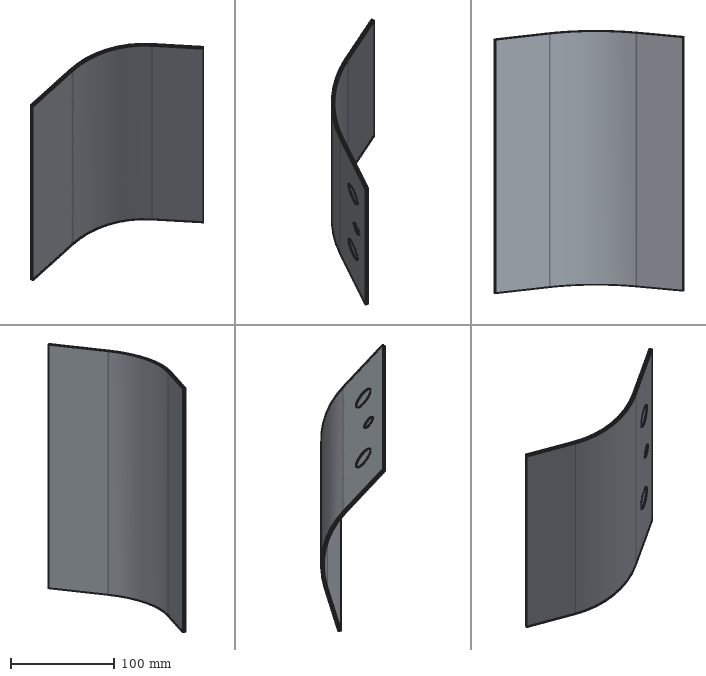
import cadquery as cq
import math


height = 250.0
first_flat_length = 60.5
second_flat_length = 50.0
bend_angle = math.radians(55.0)
inner_bend_radius = 90.0

sheet_thickness = 1.0
sheet_count = 3
outer_bend_radius = inner_bend_radius + sheet_count * sheet_thickness

large_hole_diameter = 22.2
large_hole_y = 29.85
large_hole_spacing = 120.0
small_hole_diameter = 13.2
small_hole_y = 21.85


def point_on_bend(radius, angle):
    """Point on a concentric bend arc, turned by angle from its start."""
    x = outer_bend_radius - radius * math.cos(angle)
    y = first_flat_length + radius * math.sin(angle)
    return x, y


def second_flat_end(radius):
    """Far end of the second flat that runs on from the arc of this radius."""
    x, y = point_on_bend(radius, bend_angle)
    return (
        x + second_flat_length * math.sin(bend_angle),
        y + second_flat_length * math.cos(bend_angle),
    )


def bent_sheet(outer_radius):
    """One sheet: flat, bend, flat. outer_radius is that of its convex face."""
    inner_radius = outer_radius - sheet_thickness
    outer_x = outer_bend_radius - outer_radius
    inner_x = outer_x + sheet_thickness
    half_bend = bend_angle / 2
    return (
        cq.Workplane("XY")
        .moveTo(outer_x, 0)
        .lineTo(*point_on_bend(outer_radius, 0))
        .threePointArc(point_on_bend(outer_radius, half_bend), point_on_bend(outer_radius, bend_angle))
        .lineTo(*second_flat_end(outer_radius))
        .lineTo(*second_flat_end(inner_radius))
        .lineTo(*point_on_bend(inner_radius, bend_angle))
        .threePointArc(point_on_bend(inner_radius, half_bend), point_on_bend(inner_radius, 0))
        .lineTo(inner_x, 0)
        .close()
        .extrude(height)
    )


def hole_cutter(y, z, diameter):
    """Cylinder along X that passes through the outer sheet only."""
    return cq.Workplane("YZ").center(y, z).circle(diameter / 2).extrude(sheet_thickness)


def drill_outer_sheet(sheet):
    """Cut two large holes and a small one halfway up between them."""
    middle_z = height / 2
    for side in (-1, 1):
        large_hole_z = middle_z + side * large_hole_spacing / 2
        sheet = sheet.cut(hole_cutter(large_hole_y, large_hole_z, large_hole_diameter))
    return sheet.cut(hole_cutter(small_hole_y, middle_z, small_hole_diameter))


outer_sheet = drill_outer_sheet(bent_sheet(outer_bend_radius))

backing_sheets = [
    bent_sheet(outer_bend_radius - index * sheet_thickness) for index in range(1, sheet_count)
]

result = cq.Compound.makeCompound([outer_sheet.val(), *[sheet.val() for sheet in backing_sheets]])